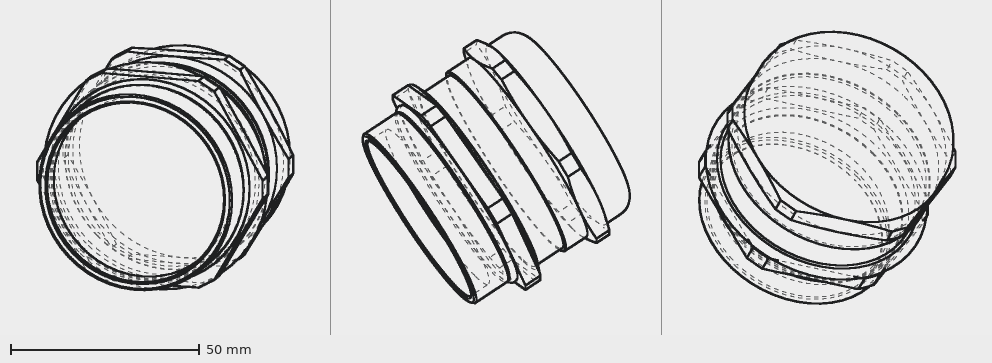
import cadquery as cq
import math


GROOVE_START = 10.7
GROOVE_BOTTOM = 11.1
BODY_HEX_START = 13.1
BODY_HEX_LENGTH = 4.9
BODY_HEX_END = BODY_HEX_START + BODY_HEX_LENGTH
FLANGE_LENGTH = 1.2
FLANGE_END = BODY_HEX_END + FLANGE_LENGTH
CAP_START = 28.0
CAP_HEX_START = 35.05
CAP_HEX_END = 40.95
OVERALL_LENGTH = 51.0

SPIGOT_RADIUS = 26.9
GROOVE_RADIUS = 26.5
BORE_RADIUS = 24.6
BODY_RADIUS = 27.45
CAP_RADIUS = 28.45
FLANGE_RADIUS = 62.4 / 2
CAP_FILLET = 4.95
CAP_EDGE_CHAMFER = 0.2

BORE_DEPTH = 6.15
SPIGOT_CHAMFER = 0.5
BORE_CHAMFER = 0.45

RING_SECTION_RADIUS = 1.2
RING_CENTRE_RADIUS = 26.75
RING_CENTRE_Y = 12.45

HEX_FLAT_DISTANCE = CAP_RADIUS
HEX_CORNER_DISTANCE = 31.4
HEX_SHARP_RADIUS = HEX_FLAT_DISTANCE / math.cos(math.pi / 6)
HEX_TIP_RADIUS = math.hypot(
    HEX_CORNER_DISTANCE,
    (HEX_SHARP_RADIUS - HEX_CORNER_DISTANCE) * math.tan(math.pi / 3),
)
CAP_HEX_CHAMFER = 0.9


def revolve_profile(profile):
    """Turn a closed (radius, Y) outline once around the Y axis."""
    return profile.close().revolve(360, (0, 0, 0), (0, 1, 0))


def truncated_hexagon(start, end):
    """Hexagonal prism along Y, corners on +/-X, each corner cut flat."""
    length = end - start
    sharp = cq.Workplane("XZ", origin=(0, end, 0)).polygon(6, 2 * HEX_SHARP_RADIUS).extrude(length)
    corner_diameter = 2 * HEX_CORNER_DISTANCE / math.cos(math.pi / 6)
    corner_cut = (
        cq.Workplane("XZ", origin=(0, end, 0))
        .transformed(rotate=(0, 0, 30))
        .polygon(6, corner_diameter)
        .extrude(length)
    )
    return sharp.intersect(corner_cut)


def turned_core():
    """Spigot, groove, sealing ring, body and domed cap as one solid of revolution."""
    ring_end_radius = RING_CENTRE_RADIUS + math.sqrt(
        RING_SECTION_RADIUS**2 - (BODY_HEX_START - RING_CENTRE_Y) ** 2
    )
    arc_offset = CAP_FILLET * (1 - math.sqrt(0.5))
    profile = (
        cq.Workplane("XY")
        .lineTo(SPIGOT_RADIUS - SPIGOT_CHAMFER, 0)
        .lineTo(SPIGOT_RADIUS, SPIGOT_CHAMFER)
        .lineTo(SPIGOT_RADIUS, GROOVE_START)
        .lineTo(GROOVE_RADIUS, GROOVE_BOTTOM)
        .lineTo(RING_CENTRE_RADIUS, RING_CENTRE_Y - RING_SECTION_RADIUS)
        .threePointArc(
            (RING_CENTRE_RADIUS + RING_SECTION_RADIUS, RING_CENTRE_Y),
            (ring_end_radius, BODY_HEX_START),
        )
        .lineTo(BODY_RADIUS, BODY_HEX_START)
        .lineTo(BODY_RADIUS, CAP_START)
        .lineTo(CAP_RADIUS - CAP_EDGE_CHAMFER, CAP_START)
        .lineTo(CAP_RADIUS, CAP_START + CAP_EDGE_CHAMFER)
        .lineTo(CAP_RADIUS, OVERALL_LENGTH - CAP_FILLET)
        .threePointArc(
            (CAP_RADIUS - arc_offset, OVERALL_LENGTH - arc_offset),
            (CAP_RADIUS - CAP_FILLET, OVERALL_LENGTH),
        )
        .lineTo(0, OVERALL_LENGTH)
    )
    return revolve_profile(profile)


def bore():
    """Blind bore in the open end, with a chamfered mouth."""
    profile = (
        cq.Workplane("XY")
        .lineTo(BORE_RADIUS + BORE_CHAMFER, 0)
        .lineTo(BORE_RADIUS, BORE_CHAMFER)
        .lineTo(BORE_RADIUS, BORE_DEPTH)
        .lineTo(0, BORE_DEPTH)
    )
    return revolve_profile(profile)


def flange():
    """Thin conical collar behind the body hexagon, overhanging its flats."""
    profile = (
        cq.Workplane("XY")
        .moveTo(0, BODY_HEX_END)
        .lineTo(FLANGE_RADIUS, BODY_HEX_END)
        .lineTo(CAP_RADIUS, FLANGE_END)
        .lineTo(0, FLANGE_END)
    )
    return revolve_profile(profile)


def cap_hexagon():
    """Hexagon of the cap with both faces chamfered down to the cap radius."""
    profile = (
        cq.Workplane("XY")
        .moveTo(0, CAP_HEX_START)
        .lineTo(HEX_FLAT_DISTANCE, CAP_HEX_START)
        .lineTo(HEX_TIP_RADIUS, CAP_HEX_START + CAP_HEX_CHAMFER)
        .lineTo(HEX_TIP_RADIUS, CAP_HEX_END - CAP_HEX_CHAMFER)
        .lineTo(HEX_FLAT_DISTANCE, CAP_HEX_END)
        .lineTo(0, CAP_HEX_END)
    )
    return truncated_hexagon(CAP_HEX_START, CAP_HEX_END).intersect(revolve_profile(profile))


result = (
    turned_core()
    .union(truncated_hexagon(BODY_HEX_START, BODY_HEX_END))
    .union(flange())
    .union(cap_hexagon())
    .cut(bore())
)